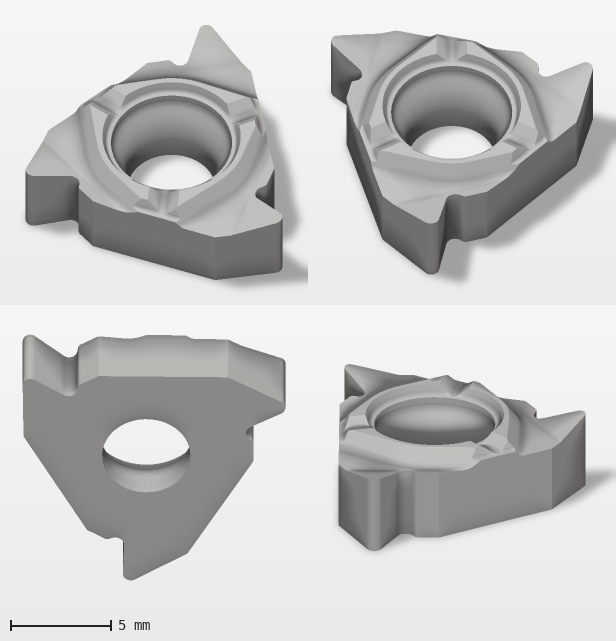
import cadquery as cq
import math

TEETH = 3

total_height = 4.2
floor_height = 3.38
ledge_height = 3.7
notch_floor_height = 3.71

inscribed_radius = 9.525 / 2
tip_radius = 0.4
tip_center = (-2.957, -6.5)
flank_half_angle = 28.5
relief_radius = 0.45
relief_center_y = -5.41
relief_exit_angle = 37.0
land_y = -5.345
land_corner_radius = 0.25
face_spacing = math.radians(180 / TEETH)

rake_start = 4.66
rake_angle = 15.0
rake_blend_radius = 0.34

boss_top_radius = 3.72
boss_side_run = 0.866
boss_turn_angle = 32.0
boss_foot_fillet = 0.37
boss_edge_chamfer = 0.03

ledge_width = 0.13
ledge_blend_width = 0.32
ledge_blend_rise = 0.15
bench_wall_width = 0.5
bench_reach = 3.0

notch_angle = 193.8
notch_floor_width = 0.27
notch_wall_run = 1.28
notch_foot_fillet = 0.25

bore_radius = 4.4 / 2
bore_flare_start = 1.36
seat_radius = 2.86
seat_height = 2.96
throat_radius = 3.02
throat_bottom = 3.26
throat_top = 3.68
step_radius = 3.12
step_height = 3.71
step_blend_point = (3.26, 3.77)
lip_foot_radius = 3.33
lip_foot_height = 3.88
lip_radius = 3.45

beyond = 10.0


def polar(radius, angle, center=(0.0, 0.0)):
    """Point at a radius and an angle in degrees from a centre."""
    turn = math.radians(angle)
    return (center[0] + radius * math.cos(turn), center[1] + radius * math.sin(turn))


def turned(point, angle):
    """Point turned about the axis by an angle in degrees."""
    return polar(math.hypot(*point), math.degrees(math.atan2(point[1], point[0])) + angle)


def repeated(shape):
    """Union of the shape and its copies around the axis."""
    whole = shape
    for index in range(1, TEETH):
        whole = whole.union(shape.rotate((0, 0, 0), (0, 0, 1), index * 360 / TEETH))
    return whole


def tooth_segments():
    """Outline of one tooth, as (end point, point on the arc or None), from the left main face."""
    left_normal = 180 + flank_half_angle
    right_normal = -flank_half_angle
    slope = 1 / math.tan(math.radians(flank_half_angle))

    tip_left = polar(tip_radius, left_normal, tip_center)
    tip_bottom = (tip_center[0], tip_center[1] - tip_radius)
    tip_right = polar(tip_radius, right_normal, tip_center)
    face_corner = (-inscribed_radius, tip_left[1] + (tip_left[0] + inscribed_radius) * slope)

    to_flank = polar(relief_radius, right_normal)
    relief_start_y = relief_center_y - to_flank[1]
    relief_start_x = tip_right[0] + (relief_start_y - tip_right[1]) / slope
    relief_start = (relief_start_x, relief_start_y)
    relief_center = (relief_start_x + to_flank[0], relief_center_y)
    relief_top = polar(relief_radius, 90, relief_center)
    relief_end = polar(relief_radius, relief_exit_angle, relief_center)

    exit_turn = math.radians(relief_exit_angle)
    corner_x = relief_end[0] + (relief_end[1] - land_y) * math.tan(exit_turn)
    tangent = land_corner_radius * math.tan((math.pi / 2 - exit_turn) / 2)
    roll_start = polar(tangent, relief_exit_angle + 90, (corner_x, land_y))
    roll_end = (corner_x + tangent, land_y)
    roll_center = (roll_end[0], land_y + land_corner_radius)
    roll_middle = polar(land_corner_radius, (relief_exit_angle + 180 + 270) / 2, roll_center)

    land_end_x = (inscribed_radius + land_y * math.sin(face_spacing)) / math.cos(face_spacing)
    return [
        (face_corner, None),
        (tip_left, None),
        (tip_right, tip_bottom),
        (relief_start, None),
        (relief_end, relief_top),
        (roll_start, None),
        (roll_end, roll_middle),
        ((land_end_x, land_y), None),
    ]


def make_outline_prism():
    """The insert's full outline, extruded to the total height."""
    segments = []
    for index in range(TEETH):
        angle = index * 360 / TEETH
        for end, middle in tooth_segments():
            segments.append((turned(end, angle), middle and turned(middle, angle)))
    sketch = cq.Workplane("XY").moveTo(*segments[0][0])
    for end, middle in segments[1:]:
        sketch = sketch.threePointArc(middle, end) if middle else sketch.lineTo(*end)
    return sketch.close().extrude(total_height)


def boss_section(radius, height):
    """Boss section: six sides at one distance, three corners rounded about the axis."""
    lobe = 360 / TEETH
    corner_half_angle = (lobe - boss_turn_angle) / 2
    corner_radius = radius / math.cos(math.radians(corner_half_angle))
    sketch = cq.Workplane("XY", origin=(0, 0, height)).moveTo(*polar(radius, -90))
    for index in range(TEETH):
        start = -90 - index * lobe
        end = start - boss_turn_angle
        sketch = sketch.threePointArc(polar(radius, (start + end) / 2), polar(radius, end))
        sketch = sketch.lineTo(*polar(corner_radius, end - corner_half_angle))
        if index < TEETH - 1:
            sketch = sketch.lineTo(*polar(radius, start - lobe))
    return sketch.close().wire().val()


def make_boss():
    """Tapered boss on a wide slab, blended at its foot."""
    foot_radius = boss_top_radius + boss_side_run * (total_height - floor_height)
    sections = [boss_section(foot_radius, floor_height), boss_section(boss_top_radius, total_height)]
    boss = cq.Workplane(cq.Solid.makeLoft(sections, True))
    boss = boss.faces(">Z").edges().chamfer(boss_edge_chamfer)
    slab = cq.Workplane("XY").circle(beyond).extrude(floor_height)
    blended = slab.union(boss)
    half_span = foot_radius * 2
    around_foot = cq.selectors.BoxSelector(
        (-half_span, -half_span, floor_height - boss_edge_chamfer),
        (half_span, half_span, floor_height + boss_edge_chamfer),
    )
    return blended.edges(around_foot).fillet(boss_foot_fillet)


def make_rake():
    """Inclined rake of the tooth that points to -Y, rising outward from the floor."""
    turn = math.radians(rake_angle)
    tangent = rake_blend_radius * math.tan(turn / 2)

    def blend_point(angle):
        return (
            -rake_start - rake_blend_radius * math.sin(angle),
            floor_height + rake_blend_radius * (1 - math.cos(angle)),
        )

    outer_height = floor_height + (beyond - rake_start - tangent) * math.tan(turn)
    return (
        cq.Workplane("YZ")
        .moveTo(-rake_start, 0)
        .lineTo(-rake_start, floor_height)
        .threePointArc(blend_point(turn / 2), blend_point(turn))
        .lineTo(-beyond, outer_height)
        .lineTo(-beyond, 0)
        .close()
        .extrude(beyond, both=True)
    )


def make_bench():
    """Cutter for the bench beside the main face on the -X side."""
    blend_end = (ledge_blend_width - inscribed_radius, ledge_height + ledge_blend_rise)
    return (
        cq.Workplane("XZ")
        .moveTo(-beyond, ledge_height)
        .lineTo(ledge_width - inscribed_radius, ledge_height)
        .tangentArcPoint(blend_end, relative=False)
        .lineTo(bench_wall_width - inscribed_radius, total_height)
        .lineTo(bench_wall_width - inscribed_radius, beyond)
        .lineTo(-beyond, beyond)
        .close()
        .extrude(bench_reach, both=True)
    )


def make_notch():
    """Cutter for one V notch, running outward from the axis."""
    depth = total_height - notch_floor_height
    foot = notch_floor_width / 2
    top = foot + notch_wall_run * depth
    section = [
        (-foot, notch_floor_height),
        (foot, notch_floor_height),
        (top, total_height),
        (-top, total_height),
    ]
    notch = cq.Workplane("YZ").polyline(section).close().extrude(beyond)
    notch = notch.edges("|X").edges("<Z").fillet(notch_foot_fillet)
    return notch.rotate((0, 0, 0), (0, 0, 1), notch_angle)


def make_bore():
    """Cutter for the stepped bore with its flared screw seat."""
    return (
        cq.Workplane("XZ")
        .lineTo(bore_radius, 0)
        .lineTo(bore_radius, bore_flare_start)
        .tangentArcPoint((seat_radius, seat_height), relative=False)
        .tangentArcPoint((throat_radius, throat_bottom), relative=False)
        .lineTo(throat_radius, throat_top)
        .lineTo(step_radius, step_height)
        .threePointArc(step_blend_point, (lip_foot_radius, lip_foot_height))
        .lineTo(lip_radius, total_height)
        .lineTo(0, total_height)
        .close()
        .revolve(360, (0, 0, 0), (0, 1, 0))
    )


top_form = make_boss().union(repeated(make_rake()))
body = make_outline_prism().intersect(top_form)
body = body.cut(repeated(make_bench()))
body = body.cut(repeated(make_notch()))
result = body.cut(make_bore())